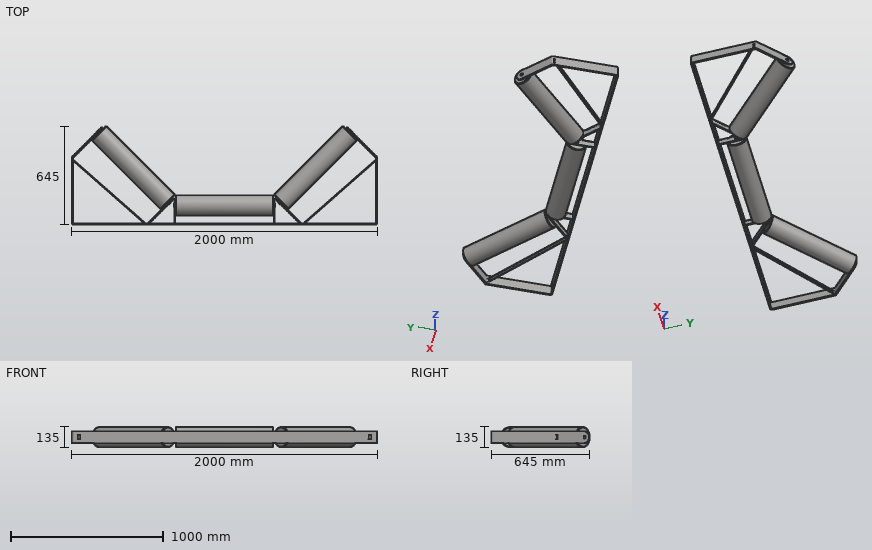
import cadquery as cq
import math


FRAME_LENGTH = 2000.0
OVERALL_RISE = 645.0
STRIP_WIDTH = 80.0
STRIP_THICKNESS = 10.0
BEND_RADIUS = 15.0
SIDE_HEIGHT = 445.0
WING_ANGLE = 45.0

ROLLER_DIAMETER = 135.0
ROLLER_LENGTH = 640.0
ROLLER_CHAMFER = 5.0
CENTRE_CLEARANCE = 2.0
WING_CLEARANCE = 5.0
CENTRE_ROLLER_Y = 128.0
AXLE_DIAMETER = 20.0

BRACKET_WIDTH = 50.0
BRACKET_THICKNESS = 8.0
BRACKET_TOP_Y = 172.0

MOUNT_SLOT_WIDTH = 18.0
MOUNT_SLOT_HEIGHT = 30.0
MOUNT_SLOT_INSET = 48.0

BRACE_THICKNESS = 5.0
BRACE_WIDTH = 30.0
BRACE_TOP_Y = 432.0
BRACE_FOOT_X = 520.0

HALF_LENGTH = FRAME_LENGTH / 2
ROLLER_RADIUS = ROLLER_DIAMETER / 2
WING = math.radians(WING_ANGLE)
WING_COS = math.cos(WING)
WING_SIN = math.sin(WING)

CENTRE_CARRIER_OFFSET = ROLLER_LENGTH / 2 + CENTRE_CLEARANCE
WING_CARRIER_OFFSET = ROLLER_LENGTH / 2 + WING_CLEARANCE
CENTRE_AXLE_LENGTH = 2 * (CENTRE_CARRIER_OFFSET + STRIP_THICKNESS)
WING_AXLE_LENGTH = 2 * (WING_CARRIER_OFFSET + STRIP_THICKNESS)
ARM_END_RADIUS = STRIP_WIDTH / 2
INNER_BEND_DROP = STRIP_THICKNESS * math.tan(WING / 2)

RIM_ALONG = ROLLER_LENGTH / 2 - ROLLER_CHAMFER
WING_Y = OVERALL_RISE - RIM_ALONG * WING_SIN - ROLLER_RADIUS * WING_COS
WING_X = (WING_Y - SIDE_HEIGHT) / math.tan(WING) - HALF_LENGTH + WING_AXLE_LENGTH / 2 / WING_SIN


def wing_point(along, across):
    """Point in the -X wing: along its axis toward the outer end, across it upward."""
    x = WING_X - along * WING_COS + across * WING_SIN
    y = WING_Y + along * WING_SIN + across * WING_COS
    return (x, y)


def mirrored_x(points):
    """The same points on the +X half, in reverse order."""
    return [(-x, y) for x, y in reversed(points)]


def strip(outline, width):
    """Solid of the given XY outline, as wide as given and centred on Z = 0."""
    return cq.Workplane("XY", origin=(0, 0, -width / 2)).polyline(outline).close().extrude(width)


def placed_on_wing(body):
    """A centre body built along X about the origin, moved to the -X wing."""
    return body.rotate((0, 0, 0), (0, 0, 1), -WING_ANGLE).translate((WING_X, WING_Y, 0))


def placed_at_centre(body):
    return body.translate((0, CENTRE_ROLLER_Y, 0))


def mirrored(body):
    return body.mirror("YZ")


def cylinder_along_x(diameter, length):
    """Cylinder with its axis on X, centred on the origin."""
    return cq.Workplane("YZ", origin=(-length / 2, 0, 0)).circle(diameter / 2).extrude(length)


def make_axle(length):
    return cylinder_along_x(AXLE_DIAMETER, length)


def make_roller(axle_length):
    """Roller drum with its axle ends, along X about the origin."""
    drum = cylinder_along_x(ROLLER_DIAMETER, ROLLER_LENGTH)
    drum = drum.edges("<X or >X").chamfer(ROLLER_CHAMFER)
    return drum.union(make_axle(axle_length))


def make_brace():
    """Thin strip from the top of the -X side to the base, its ends cut to fit."""
    run = HALF_LENGTH - BRACE_FOOT_X
    rise = BRACE_TOP_Y - STRIP_THICKNESS
    half_x = BRACE_THICKNESS / 2 * math.hypot(run, rise) / rise
    half_y = BRACE_THICKNESS / 2 * math.hypot(run, rise) / run
    outline = [
        (-HALF_LENGTH, BRACE_TOP_Y - half_y),
        (-BRACE_FOOT_X - half_x, STRIP_THICKNESS),
        (-BRACE_FOOT_X + half_x, STRIP_THICKNESS),
        (-HALF_LENGTH, BRACE_TOP_Y + half_y),
    ]
    return strip(outline, BRACE_WIDTH)


def bent_strip():
    """Base, sides and wing arms as one strip with rounded bends."""
    t = STRIP_THICKNESS
    base_outer = (-HALF_LENGTH, 0)
    base_inner = (-HALF_LENGTH + t, t)
    side_outer = (-HALF_LENGTH, SIDE_HEIGHT)
    side_inner = (-HALF_LENGTH + t, SIDE_HEIGHT - INNER_BEND_DROP)
    arm_outer = wing_point(WING_CARRIER_OFFSET + t, ARM_END_RADIUS)
    arm_inner = wing_point(WING_CARRIER_OFFSET, ARM_END_RADIUS)

    outer_half = [arm_outer, side_outer, base_outer]
    inner_half = [base_inner, side_inner, arm_inner]
    outline = outer_half + mirrored_x(outer_half) + mirrored_x(inner_half) + inner_half
    body = strip(outline, STRIP_WIDTH)

    bends = [
        (base_outer, BEND_RADIUS),
        (side_outer, BEND_RADIUS),
        (base_inner, BEND_RADIUS - t),
        (side_inner, BEND_RADIUS - t),
    ]
    for (x, y), radius in bends:
        for corner_x in (x, -x):
            corner = cq.selectors.NearestToPointSelector((corner_x, y, 0))
            body = body.edges("|Z").edges(corner).fillet(radius)
    return body


def arm_end_waste():
    """Corner material outside the rounded end of the -X wing arm."""
    arm_face = cq.Workplane("YZ", origin=(-WING_CARRIER_OFFSET - STRIP_THICKNESS, 0, 0))
    blank = arm_face.center(ARM_END_RADIUS, 0).rect(STRIP_WIDTH, 2 * STRIP_WIDTH).extrude(STRIP_THICKNESS)
    disc = arm_face.circle(ARM_END_RADIUS).extrude(STRIP_THICKNESS)
    return placed_on_wing(blank.cut(disc))


def mount_slots():
    """Upright slots through the base near both ends."""
    slot_x = HALF_LENGTH - MOUNT_SLOT_INSET
    return (
        cq.Workplane("XZ")
        .pushPoints([(-slot_x, 0), (slot_x, 0)])
        .slot2D(MOUNT_SLOT_HEIGHT, MOUNT_SLOT_WIDTH, 90)
        .extrude(-STRIP_THICKNESS)
    )


def make_frame():
    """Bent strip with rounded arm ends, axle holes, brace slots and mounting slots."""
    body = bent_strip().cut(mount_slots())
    wing_axle = placed_on_wing(make_axle(WING_AXLE_LENGTH))
    for tool in (arm_end_waste(), wing_axle, make_brace()):
        body = body.cut(tool).cut(mirrored(tool))
    return body


def make_bracket():
    """Bent strip on the -X half, carrying the inner wing end and the centre roller."""
    t = BRACKET_THICKNESS
    foot_y = STRIP_THICKNESS
    top_y = BRACKET_TOP_Y
    wing_near = WING_CARRIER_OFFSET
    wing_far = wing_near + t
    centre_near = CENTRE_CARRIER_OFFSET
    centre_far = centre_near + t

    def on_wing_face(distance, y):
        """Point at height y on the plane the given distance inboard of the wing centre."""
        x0, y0 = wing_point(-distance, 0)
        return (x0 + (y - y0) * math.tan(WING), y)

    outline = [
        on_wing_face(wing_near, foot_y),
        on_wing_face(wing_near, top_y),
        (-centre_near, top_y),
        (-centre_near, foot_y),
        (-centre_far, foot_y),
        (-centre_far, top_y - t),
        on_wing_face(wing_far, top_y - t),
        on_wing_face(wing_far, foot_y),
    ]
    wing_axle = placed_on_wing(make_axle(WING_AXLE_LENGTH))
    centre_axle = placed_at_centre(make_axle(CENTRE_AXLE_LENGTH))
    return strip(outline, BRACKET_WIDTH).cut(wing_axle).cut(centre_axle)


def both_sides(body):
    """The -X body and its +X copy."""
    return [body, mirrored(body)]


frame = make_frame()
centre_roller = placed_at_centre(make_roller(CENTRE_AXLE_LENGTH))
wing_rollers = both_sides(placed_on_wing(make_roller(WING_AXLE_LENGTH)))
brackets = both_sides(make_bracket())
braces = both_sides(make_brace())

bodies = [frame, centre_roller, *wing_rollers, *brackets, *braces]
result = cq.Compound.makeCompound([body.solids().val() for body in bodies])